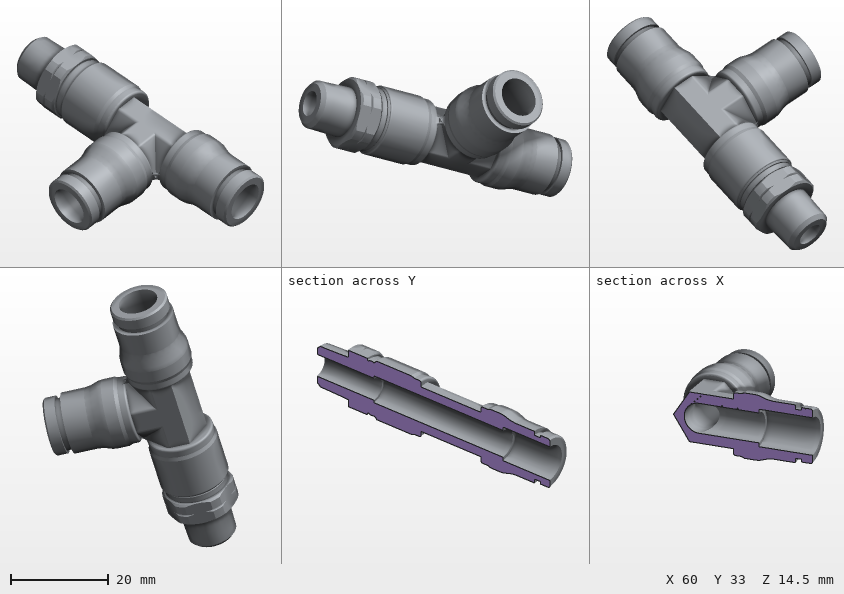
import cadquery as cq
import math

overall_length = 60.05
arm_length = 25.5
stem_length = overall_length - arm_length

body_half_height = 5.5
body_back_flat = 2.15
body_back_depth = 5.75
body_front_flat = 2.45
body_edge_radius = 0.85
selection_margin = 0.6
collar_start = 7.7

collar_radius = 6.95
band_radius = 7.25
collar_edge_radius = 0.5
collar_end = 9.4
band_start = 10.2
band_end = 12.8
sleeve_radius = 6.4
sleeve_start = 16.6
sleeve_end = 21.6
groove_radius = 5.45
groove_end = 22.95
ring_radius = 6.05
ring_chamfer = 0.35

web_thickness = 1.55
web_radius = 1.45

stem_band_end = 19.75
stem_band_edge_radius = 0.3
stem_band_cone_length = 0.35
stem_band_cone_depth = 0.25
neck_radius = 6.7
neck_chamfer = 0.25
hex_relief_radius = 6.5
hex_relief_width = 0.35
hex_length = 5.05
hex_across_flats = 14.0
hex_corner_radius = 7.5
hex_chamfer_length = 0.35
hex_groove_depth = 0.4
hex_groove_width = 0.5
thread_length = 8.0
thread_root_radius = 5.3
thread_taper = 1 / 32
thread_chamfer_length = 0.85
thread_nose_radius = 4.25

tube_bore_radius = 4.1
tube_bore_depth = 12.0
body_bore_radius = 3.25
stem_bore_radius = 2.65

hex_inner = stem_length - thread_length - hex_length
hex_outer = stem_length - thread_length


def cylinder_along_run(x_start, x_end, radius):
    """Cylinder on the X axis."""
    return cq.Workplane("YZ", origin=(x_start, 0, 0)).circle(radius).extrude(x_end - x_start)


def to_branch(solid):
    """Turn a shape from the +X arm onto the -Y branch."""
    return solid.rotate((0, 0, 0), (0, 0, 1), -90)


def begin_collar():
    """Profile (distance, radius) from the axis up to the end of the shared collar."""
    return (
        cq.Workplane("XY")
        .moveTo(collar_start, 0)
        .lineTo(collar_start, collar_radius - collar_edge_radius)
        .radiusArc((collar_start + collar_edge_radius, collar_radius), collar_edge_radius)
        .lineTo(collar_end, collar_radius)
        .lineTo(band_start, band_radius)
    )


def revolve_about_run(profile):
    """Close a half-profile along the X axis and turn it into a solid."""
    return profile.close().revolve(360, (0, 0, 0), (1, 0, 0))


def tube_port():
    """Push-in port on +X: collar, band, waisted sleeve, groove and release ring."""
    profile = (
        begin_collar()
        .lineTo(band_end, band_radius)
        .spline([(sleeve_start, sleeve_radius)], tangents=[(1, 0), (1, 0)], includeCurrent=True)
        .lineTo(sleeve_end, sleeve_radius)
        .lineTo(sleeve_end, groove_radius)
        .lineTo(groove_end, groove_radius)
        .lineTo(groove_end, ring_radius)
        .lineTo(arm_length - ring_chamfer, ring_radius)
        .lineTo(arm_length, ring_radius - ring_chamfer)
        .lineTo(arm_length, 0)
    )
    return revolve_about_run(profile)


def stem_socket():
    """Collar, long band and neck behind the hexagon, drawn on +X."""
    cone_start = stem_band_end - stem_band_cone_length
    cone_radius = band_radius - stem_band_edge_radius
    profile = (
        begin_collar()
        .lineTo(cone_start - stem_band_edge_radius, band_radius)
        .radiusArc((cone_start, cone_radius), stem_band_edge_radius)
        .lineTo(stem_band_end, cone_radius - stem_band_cone_depth)
        .lineTo(stem_band_end, neck_radius - neck_chamfer)
        .lineTo(stem_band_end + neck_chamfer, neck_radius)
        .lineTo(hex_inner - hex_relief_width, neck_radius)
        .lineTo(hex_inner - hex_relief_width, hex_relief_radius)
        .lineTo(hex_inner, hex_relief_radius)
        .lineTo(hex_inner, 0)
    )
    return revolve_about_run(profile)


def hexagon():
    """Hexagon with flats facing +Z and -Z, turned corners and a V-groove round them, on +X."""
    prism = (
        cq.Workplane("YZ", origin=(hex_inner, 0, 0))
        .polygon(6, hex_across_flats / math.cos(math.pi / 6))
        .extrude(hex_length)
    )
    middle = (hex_inner + hex_outer) / 2
    flat_radius = hex_across_flats / 2
    envelope = (
        cq.Workplane("XY")
        .moveTo(hex_inner, 0)
        .lineTo(hex_inner, flat_radius)
        .lineTo(hex_inner + hex_chamfer_length, hex_corner_radius)
        .lineTo(middle - hex_groove_width / 2, hex_corner_radius)
        .lineTo(middle, hex_corner_radius - hex_groove_depth)
        .lineTo(middle + hex_groove_width / 2, hex_corner_radius)
        .lineTo(hex_outer - hex_chamfer_length, hex_corner_radius)
        .lineTo(hex_outer, flat_radius)
        .lineTo(hex_outer, 0)
    )
    return prism.intersect(revolve_about_run(envelope))


def thread():
    """Tapered thread envelope with a chamfered nose, drawn on +X."""
    chamfer_start = stem_length - thread_chamfer_length
    tip_radius = thread_root_radius - thread_taper * (chamfer_start - hex_outer)
    profile = (
        cq.Workplane("XY")
        .moveTo(hex_outer, 0)
        .lineTo(hex_outer, thread_root_radius)
        .lineTo(chamfer_start, tip_radius)
        .lineTo(stem_length, thread_nose_radius)
        .lineTo(stem_length, 0)
    )
    return revolve_about_run(profile)


def swivel_stem():
    """Complete stem, turned round onto the -X side."""
    stem = stem_socket().union(hexagon()).union(thread())
    return stem.rotate((0, 0, 0), (0, 0, 1), 180)


def round_flat_edges(prism, x_half_size, y_min, y_max):
    """Round the long edges of the top and bottom flats that lie between the given limits."""
    z_limit = body_half_height + selection_margin
    long_flat_edges = cq.selectors.BoxSelector((-x_half_size, y_min, -z_limit), (x_half_size, y_max, z_limit))
    return prism.edges(long_flat_edges).fillet(body_edge_radius)


def tee_body():
    """Faceted body: its front faces slope from the flats out to the collar corners."""
    run = (
        cq.Workplane("YZ", origin=(-collar_start, 0, 0))
        .polyline([
            (body_back_flat, body_half_height),
            (body_back_depth, 0),
            (body_back_flat, -body_half_height),
            (-body_front_flat, -body_half_height),
            (-collar_start, 0),
            (-body_front_flat, body_half_height),
        ])
        .close()
        .extrude(2 * collar_start)
        .edges("|X")
    )
    branch = (
        cq.Workplane("XZ")
        .polyline([
            (body_front_flat, body_half_height),
            (collar_start, 0),
            (body_front_flat, -body_half_height),
            (-body_front_flat, -body_half_height),
            (-collar_start, 0),
            (-body_front_flat, body_half_height),
        ])
        .close()
        .extrude(collar_start)
        .edges("|Y")
    )
    edge_limit = body_front_flat + selection_margin
    rounded_run = round_flat_edges(run, collar_start, -edge_limit, 0)
    rounded_branch = round_flat_edges(branch, edge_limit, -collar_start, 0)
    return rounded_run.union(rounded_branch)


def corner_web(side):
    """Web filling the inside corner on one side of the branch, with a concave outer face."""
    centre = collar_radius + web_radius
    return (
        cq.Workplane("XY", origin=(0, 0, -web_thickness / 2))
        .moveTo(side * collar_radius, -collar_radius)
        .lineTo(side * centre, -collar_radius)
        .radiusArc((side * collar_radius, -centre), -side * web_radius)
        .close()
        .extrude(web_thickness)
    )


result = tee_body().union(tube_port()).union(to_branch(tube_port())).union(swivel_stem())
for side in (-1, 1):
    result = result.union(corner_web(side))

tube_bore = cylinder_along_run(arm_length - tube_bore_depth, arm_length, tube_bore_radius)
for bore in (
    tube_bore,
    to_branch(tube_bore),
    cylinder_along_run(-stem_band_end, arm_length, body_bore_radius),
    to_branch(cylinder_along_run(0, arm_length, body_bore_radius)),
    cylinder_along_run(-stem_length, 0, stem_bore_radius),
):
    result = result.cut(bore)